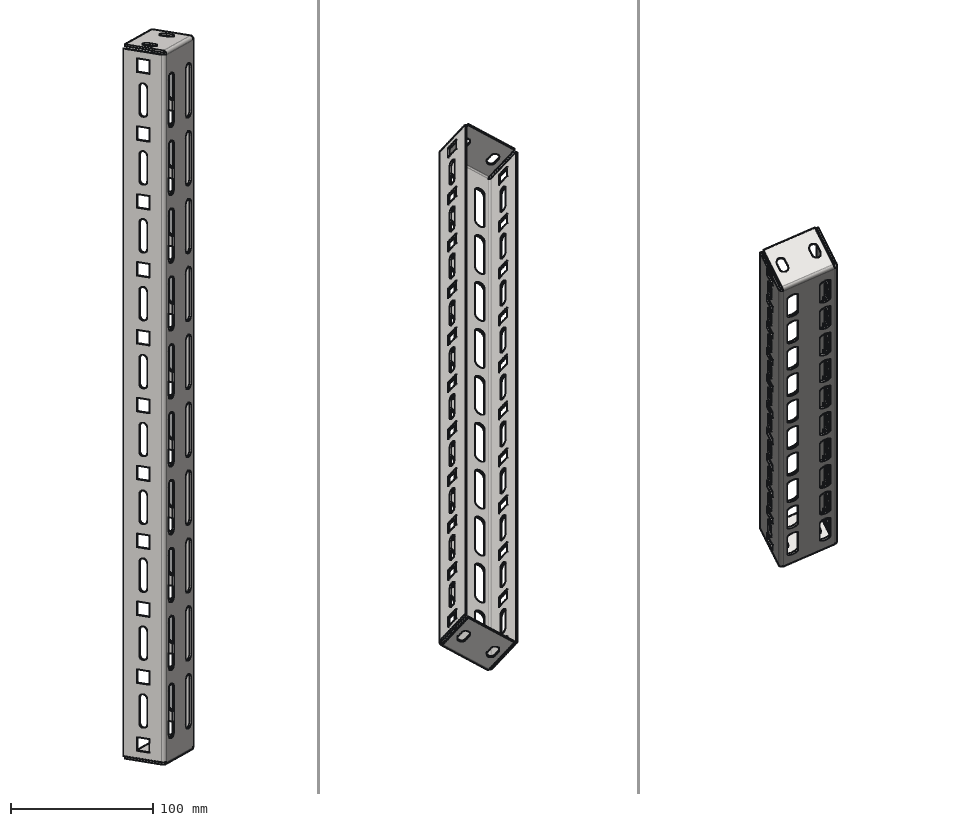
import cadquery as cq

LENGTH = 526.0
WIDTH = 45.0
DEPTH = 33.0
SHEET = 1.5
INNER_BEND = 1.0
OUTER_BEND = INNER_BEND + SHEET

FLANGE_SETBACK = OUTER_BEND
TAB_WIDTH = WIDTH - 2 * OUTER_BEND

PITCH = 50.0
WEB_SLOTS = 10
WEB_SLOT_LENGTH = 40.0
WEB_SLOT_WIDTH = 8.5
ROW_SPACING = 25.0

SQUARE_HOLES = WEB_SLOTS + 1
SQUARE_SIDE = 10.0
FLANGE_SLOT_LENGTH = 24.5
FLANGE_SLOT_WIDTH = 6.5
TAB_SLOT_LENGTH = 11.0
TAB_SLOT_WIDTH = 6.5
HOLE_LINE_X = -0.65


def channel():
    """U-section of web and two side flanges, with rounded bends."""
    height = LENGTH - 2 * FLANGE_SETBACK
    outer = cq.Workplane("XY").box(DEPTH, WIDTH, height).edges("|Z and >X").fillet(OUTER_BEND)
    inner = (
        cq.Workplane("XY")
        .center(-SHEET, 0)
        .rect(DEPTH, WIDTH - 2 * SHEET)
        .extrude(height / 2, both=True)
        .edges("|Z and >X")
        .fillet(INNER_BEND)
    )
    return outer.cut(inner)


def web_with_tabs():
    """Strip of the web between the side bends, folded over at both ends."""
    outer = cq.Workplane("XY").box(DEPTH, TAB_WIDTH, LENGTH).edges("|Y and >X").fillet(OUTER_BEND)
    inner = (
        cq.Workplane("XY")
        .box(DEPTH, TAB_WIDTH, LENGTH - 2 * SHEET)
        .edges("|Y and >X")
        .fillet(INNER_BEND)
        .translate((-SHEET, 0, 0))
    )
    return outer.cut(inner)


def web_slots():
    return (
        cq.Workplane("YZ", origin=(DEPTH / 2 - SHEET / 2, 0, 0))
        .rarray(ROW_SPACING, PITCH, 2, WEB_SLOTS)
        .slot2D(WEB_SLOT_LENGTH, WEB_SLOT_WIDTH, 90)
        .extrude(SHEET, both=True)
    )


def flange_holes():
    """Square holes alternating with upright slots, through both flanges."""
    plane = cq.Workplane("XZ", origin=(HOLE_LINE_X, 0, 0))
    squares = (
        plane.rarray(PITCH, PITCH, 1, SQUARE_HOLES)
        .rect(SQUARE_SIDE, SQUARE_SIDE)
        .extrude(WIDTH, both=True)
    )
    slots = (
        plane.rarray(PITCH, PITCH, 1, WEB_SLOTS)
        .slot2D(FLANGE_SLOT_LENGTH, FLANGE_SLOT_WIDTH, 90)
        .extrude(WIDTH, both=True)
    )
    return squares.union(slots)


def tab_slots():
    return (
        cq.Workplane("XY", origin=(HOLE_LINE_X, 0, 0))
        .rarray(ROW_SPACING, ROW_SPACING, 1, 2)
        .slot2D(TAB_SLOT_LENGTH, TAB_SLOT_WIDTH)
        .extrude(LENGTH, both=True)
    )


result = channel().union(web_with_tabs())
for holes in (web_slots(), flange_holes(), tab_slots()):
    result = result.cut(holes)